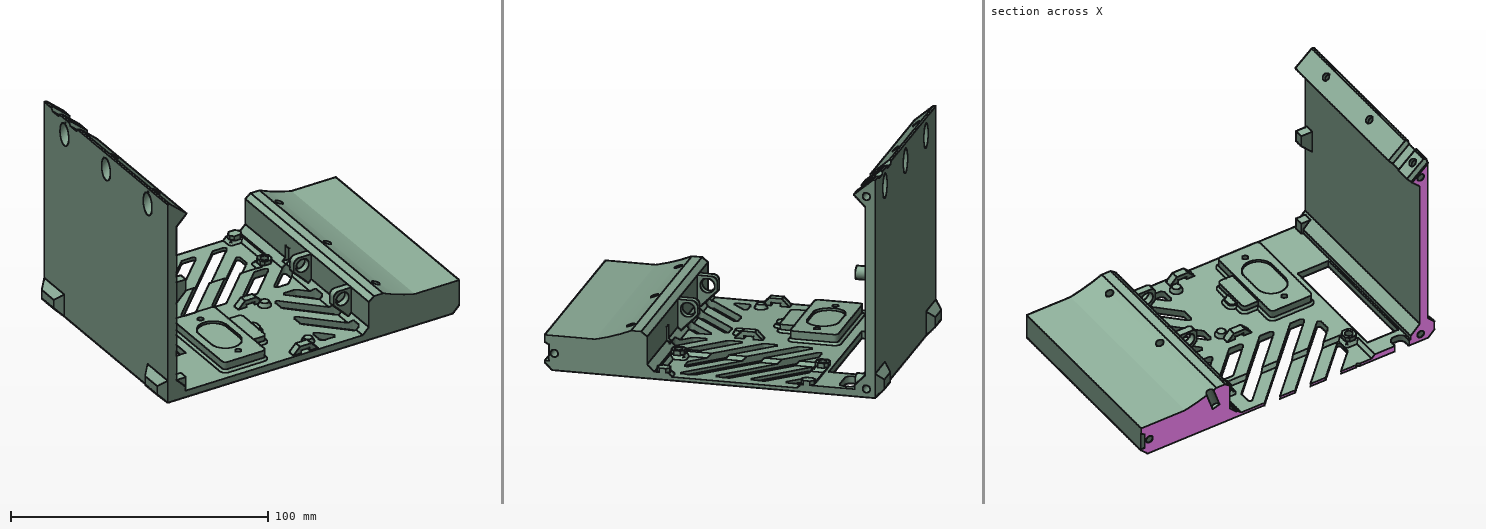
import cadquery as cq
import math


WIDTH = 92.0
HALF = WIDTH / 2
LENGTH = 133.0
HEIGHT = 89.6
FLOOR = 3.0
WALL = 4.0
CORNER_RIB = 4.2
CORNER_RIB_LIP = 1.8

LIP_TIP_Y = 8.65
LIP_TIP_Z = 83.0
LIP_FLAT = 1.0
LIP_RUN = LIP_TIP_Y - LIP_FLAT
LIP_DROP = HEIGHT - LIP_TIP_Z
LIP_ANGLE = math.atan2(LIP_DROP, LIP_RUN)

BLOCK_FACE_Y = 91.7
BLOCK_UNDERCUT = 2.8
BLOCK_TOP_Z = 19.1
BLOCK_EDGE_RUN = 2.4
BLOCK_EDGE_DROP = 1.9
BLOCK_FACE_TOP_Z = BLOCK_TOP_Z - BLOCK_EDGE_DROP
DECK_Z = 14.3
RAMP_TOP_Y = 98.2
RAMP_END_Y = 112.7
RAMP_SAG = 0.4
RAMP_ANGLE = math.atan2(BLOCK_TOP_Z - DECK_Z, RAMP_END_Y - RAMP_TOP_Y)
BACK_CHAMFER = 3.0
BACK_NOTCH_DEPTH = 1.7
BACK_NOTCH_LENGTH = 10.0
BACK_NOTCH_Z = (3.7, 11.4)
BACK_NOTCH_SLOPE = 1.0
CABLE_SLOT_X = (-16.2, -13.5)
CABLE_SLOT_Y = (89.8, 94.8)
CABLE_SLOT_Z = (4.5, 11.3)

FOOT_WIDTH = 15.0
FOOT_HEIGHT = 10.0
FOOT_DEPTH = 3.0

SCREW_D = 3.2
SCREW_HEAD_D = 6.5
SCREW_SEAT = 4.4
LIP_SCREW_X = 31.0
LIP_SCREW_Y = 4.0
RAMP_SCREW_X = 36.0
RAMP_SCREW_Y = 101.1
RAMP_SCREW_DEPTH = 9.0
SIDE_HOLE_D = 3.0
SIDE_HOLE_DEPTH = 10.0
SIDE_HOLES = [(3.5, 3.5), (3.5, 82.7), (129.1, 7.0)]

GROOVE_X = (-37.65, -24.45)
GROOVE_WIDTH = 7.0
GROOVE_FLOOR_WIDTH = 4.2
GROOVE_DEPTH = 1.5

EAR_X = (0.2, 29.95)
EAR_THICK = 3.0
EAR_FRONT_Y = 83.7
EAR_RADIUS = 2.4
EAR_STRAIGHT_Z = 11.1
EAR_HOLE = (87.7, 13.2)
EAR_HOLE_D = 5.8

WINDOW_X = (-28.55, 21.45)
WINDOW_Y = (9.05, 23.3)
CABLE_HOLE_X = (-43.5, -31.4)
CABLE_HOLE_Y = (9.0, 15.4)
CABLE_HOLE_RADIUS = 2.3

SLIT_WIDTH = 5.0
SLIT_PITCH = 10.0
LEFT_REAR_SLITS = range(0, 2)
LEFT_MAIN_SLITS = range(2, 7)
RIGHT_SLITS = range(0, 4)
SLIT_FIRST = 82.2
SLIT_CORNER = 1.0
VENT_OUTER_X = 41.25
VENT_BACK_Y = 90.5
LEFT_VENT_INNER_X = -2.5
LEFT_REAR_OUTER_X = -17.1
LEFT_MAIN_BACK_Y = 80.5
LEFT_VENT_FRONT_Y = 31.5
RIGHT_VENT_INNER_X = 2.6
RIGHT_VENT_FRONT_Y = 72.9

RECESS_DEPTH = 1.5
RECESS_X = -19.0
RECESS_Y = (24.8, 88.2)
BOARD_MID_Y = sum(RECESS_Y) / 2
POST_SPAN_X = 23.0
POST_SPAN_Y = 58.0
POST_X = -21.7
POST_SIZE = 5.2
POST_CORNER = 1.3
EDGE_POST_LENGTH = 4.1
POST_TOP_Z = 4.7
POST_HOLE_D = 3.2
PAD_EDGE = 2.4

BRIDGE_X = (1.05, 41.95)
BRIDGE_WIDTH = 3.15
BRIDGE_Y = 63.45
BRIDGE_LENGTH = 11.3
BRIDGE_HEIGHT = 3.1
BRIDGE_GAP_LENGTH = 3.8
BRIDGE_GAP_HEIGHT = 1.2
PEG_X = (6.4, 38.6)
PEG_Y = 68.45
PEG_BASE_R = 2.6
PEG_TOP_R = 1.7
PEG_HEIGHT = 1.7

FLARE = 1.0
HOUSING_CORNER = 1.6
HOUSING_X = 22.5
HOUSING_SIZE = (38.8, 19.2)
HOUSING_FRONT_Y = 28.2
HOUSING_TOP_Z = 7.2
STEP_X = 21.75
STEP_WIDTH = 18.5
STEP_BACK_Y = 54.2
STEP_TOP_Z = 6.15
TAB_X = 20.3
TAB_WIDTHS = (6.4, 4.2)
TAB_BACK_Y = 57.0
TAB_TOP_Z = 4.7
HOUSING_MID_Y = 37.9
OVAL_SIZE = (22.0, 12.9)
OVAL_DEPTH = 1.0
HOUSING_HOLE_D = 2.4
HOUSING_HOLE_SPAN = 28.0
HOUSING_HOLE_DEPTH = 3.0

SUPPORT_Z = (6.0, 50.2)
STANDOFF_X = -43.3
STANDOFF_R = 2.7
STANDOFF_END_Y = 8.05
BRACKET_X = (40.9, 44.7)
BRACKET_END_Y = 9.1
BRACKET_RISE = 2.2
BRACKET_FALL = 2.9

OVERLAP = 0.5


def box(xs, ys, zs):
    """Box between two X, two Y and two Z values."""
    size = (xs[1] - xs[0], ys[1] - ys[0], zs[1] - zs[0])
    return cq.Workplane("XY").box(*size, centered=False).translate((xs[0], ys[0], zs[0]))


def side_profile(x):
    """Workplane at X = x whose local axes are Y and Z, extruding toward +X."""
    return cq.Workplane("YZ", origin=(x, 0, 0))


def tilted_plane(x, y, z, angle):
    """Plane on a slope falling toward +Y by angle, with its normal pointing out of the slope."""
    return cq.Plane(origin=(x, y, z), xDir=(1, 0, 0), normal=(0, math.sin(angle), math.cos(angle)))


def body():
    """Floor, wall with its lip, and back block as one extruded outline."""
    ramp_mid = ((RAMP_TOP_Y + RAMP_END_Y) / 2, (BLOCK_TOP_Z + DECK_Z) / 2 - RAMP_SAG)
    rib_y = WALL + CORNER_RIB
    rib_z = FLOOR + CORNER_RIB_LIP
    return (
        side_profile(-HALF)
        .moveTo(0, 0)
        .lineTo(LENGTH - BACK_CHAMFER, 0)
        .lineTo(LENGTH, BACK_CHAMFER)
        .lineTo(LENGTH, DECK_Z)
        .lineTo(RAMP_END_Y, DECK_Z)
        .threePointArc(ramp_mid, (RAMP_TOP_Y, BLOCK_TOP_Z))
        .lineTo(BLOCK_FACE_Y + BLOCK_EDGE_RUN, BLOCK_TOP_Z)
        .lineTo(BLOCK_FACE_Y, BLOCK_FACE_TOP_Z)
        .lineTo(BLOCK_FACE_Y, FLOOR + BLOCK_UNDERCUT)
        .lineTo(BLOCK_FACE_Y - BLOCK_UNDERCUT, FLOOR)
        .lineTo(rib_y, FLOOR)
        .lineTo(rib_y, rib_z)
        .lineTo(WALL, rib_z + CORNER_RIB)
        .lineTo(WALL, LIP_TIP_Z - (LIP_TIP_Y - WALL))
        .lineTo(LIP_TIP_Y, LIP_TIP_Z)
        .lineTo(LIP_FLAT, HEIGHT)
        .lineTo(0, HEIGHT)
        .close()
        .extrude(WIDTH)
    )


def foot(side):
    """Tapered foot at one end of the wall; side is -1 or +1."""
    centre_x = side * (HALF - FOOT_WIDTH / 2)
    return (
        cq.Workplane("XZ", origin=(centre_x, 0, FOOT_HEIGHT / 2))
        .rect(FOOT_WIDTH, FOOT_HEIGHT)
        .extrude(FOOT_DEPTH, taper=45)
    )


def ear(x):
    """Hinge ear with a rounded upper corner and a 45-degree underside."""
    root_y = BLOCK_FACE_Y + OVERLAP
    root_z = EAR_STRAIGHT_Z - (root_y - EAR_FRONT_Y)
    diagonal = EAR_RADIUS * math.sqrt(0.5)
    arc_mid = (EAR_FRONT_Y + EAR_RADIUS - diagonal, BLOCK_FACE_TOP_Z - EAR_RADIUS + diagonal)
    plate = (
        side_profile(x)
        .moveTo(root_y, root_z)
        .lineTo(root_y, BLOCK_FACE_TOP_Z)
        .lineTo(EAR_FRONT_Y + EAR_RADIUS, BLOCK_FACE_TOP_Z)
        .threePointArc(arc_mid, (EAR_FRONT_Y, BLOCK_FACE_TOP_Z - EAR_RADIUS))
        .lineTo(EAR_FRONT_Y, EAR_STRAIGHT_Z)
        .close()
        .extrude(EAR_THICK)
    )
    hole = side_profile(x).center(*EAR_HOLE).circle(EAR_HOLE_D / 2).extrude(EAR_THICK)
    return plate.cut(hole)


def lip_screw_hole(x):
    """Hole square to the lip's slope, with a head bore entering from the outer face."""
    z = HEIGHT - (LIP_SCREW_Y - LIP_FLAT) * math.tan(LIP_ANGLE)
    plane = tilted_plane(x, LIP_SCREW_Y, z, LIP_ANGLE)
    wall_distance = LIP_SCREW_Y / math.sin(LIP_ANGLE)
    shank = cq.Workplane(plane).circle(SCREW_D / 2).extrude(2 * wall_distance, both=True)
    head = (
        cq.Workplane(plane)
        .workplane(offset=SCREW_SEAT - wall_distance)
        .circle(SCREW_HEAD_D / 2)
        .extrude(-2 * wall_distance)
    )
    return shank.union(head)


def ramp_screw_hole(x):
    """Blind hole square to the ramp."""
    z = BLOCK_TOP_Z - (RAMP_SCREW_Y - RAMP_TOP_Y) * math.tan(RAMP_ANGLE)
    plane = tilted_plane(x, RAMP_SCREW_Y, z, RAMP_ANGLE)
    start = cq.Workplane(plane).workplane(offset=OVERLAP)
    return start.circle(SCREW_D / 2).extrude(-RAMP_SCREW_DEPTH - OVERLAP)


def cable_groove(x):
    """Flared groove running down the lip's slope."""
    down_slope = (0, math.cos(LIP_ANGLE), -math.sin(LIP_ANGLE))
    plane = cq.Plane(origin=(x, LIP_FLAT, HEIGHT), xDir=(-1, 0, 0), normal=down_slope)
    flare = (GROOVE_WIDTH - GROOVE_FLOOR_WIDTH) / 2
    half_floor = GROOVE_FLOOR_WIDTH / 2
    half_top = half_floor + 2 * flare
    outline = [
        (-half_floor, -GROOVE_DEPTH),
        (half_floor, -GROOVE_DEPTH),
        (half_top, GROOVE_DEPTH),
        (-half_top, GROOVE_DEPTH),
    ]
    return cq.Workplane(plane).polyline(outline).close().extrude(2 * LIP_RUN, both=True)


def side_holes():
    """Blind screw holes in the -X end."""
    return side_profile(-HALF).pushPoints(SIDE_HOLES).circle(SIDE_HOLE_D / 2).extrude(SIDE_HOLE_DEPTH)


def back_notch():
    """Notch in the back face, open at the -X end."""
    bottom, top = BACK_NOTCH_Z
    floor_y = LENGTH - BACK_NOTCH_DEPTH
    outline = [(LENGTH, bottom), (floor_y, bottom), (floor_y, top - BACK_NOTCH_SLOPE), (LENGTH, top)]
    return side_profile(-HALF).polyline(outline).close().extrude(BACK_NOTCH_LENGTH)


def cable_hole():
    """Rounded opening in the floor beside the large window."""
    return box(CABLE_HOLE_X, CABLE_HOLE_Y, (0, FLOOR)).edges("|Z").fillet(CABLE_HOLE_RADIUS)


def vent_slits(xs, ys, side, indices):
    """45-degree slits clipped to a floor rectangle; side is the sign of X they lie on."""
    step = SLIT_PITCH * math.sqrt(2)
    drop = SLIT_WIDTH * math.sqrt(2)
    reach = side * WIDTH
    region = box(xs, ys, (0, FLOOR))
    slits = cq.Workplane("XY")
    for index in indices:
        upper = SLIT_FIRST - index * step
        lower = upper - drop
        corners = [(0, upper), (reach, upper + WIDTH), (reach, lower + WIDTH), (0, lower)]
        band = cq.Workplane("XY").polyline(corners).close().extrude(FLOOR)
        outline = region.intersect(band).faces("<Z").wires().val()
        rounded = outline.offset2D(-SLIT_CORNER)[0].offset2D(SLIT_CORNER)[0]
        slits = slits.union(cq.Workplane("XY").add(rounded).toPending().extrude(2 * FLOOR))
    return slits


def all_vents():
    """Slits of the two left regions and the right region."""
    left_xs = (-VENT_OUTER_X, LEFT_VENT_INNER_X)
    rear_xs = (LEFT_REAR_OUTER_X, LEFT_VENT_INNER_X)
    right_xs = (RIGHT_VENT_INNER_X, VENT_OUTER_X)
    main = vent_slits(left_xs, (LEFT_VENT_FRONT_Y, LEFT_MAIN_BACK_Y), -1, LEFT_MAIN_SLITS)
    rear = vent_slits(rear_xs, (LEFT_VENT_FRONT_Y, VENT_BACK_Y), -1, LEFT_REAR_SLITS)
    right = vent_slits(right_xs, (RIGHT_VENT_FRONT_Y, VENT_BACK_Y), 1, RIGHT_SLITS)
    return main.union(rear).union(right)


def sloped_block(xs, ys, slope):
    """Block from the recess floor to the floor's top; sizes are at the top and taper by slope below."""
    centre = ((xs[0] + xs[1]) / 2, (ys[0] + ys[1]) / 2)
    return (
        cq.Workplane("XY", origin=(*centre, FLOOR))
        .rect(xs[1] - xs[0], ys[1] - ys[0])
        .extrude(-RECESS_DEPTH, taper=slope)
    )


def post_points():
    """Centres of the four board posts."""
    front = BOARD_MID_Y - POST_SPAN_Y / 2
    back = BOARD_MID_Y + POST_SPAN_Y / 2
    return [(x, y) for x in (POST_X - POST_SPAN_X, POST_X) for y in (front, back)]


def board_recess():
    """Shallow recess with 45-degree sides, leaving a sloped pad at each post."""
    open_end = -HALF - 2 * RECESS_DEPTH
    recess = sloped_block((open_end, RECESS_X), RECESS_Y, 45)
    for x, y in post_points():
        if x < POST_X:
            xs = (open_end - POST_SPAN_X, x + PAD_EDGE)
        else:
            xs = (x - PAD_EDGE, x + POST_SPAN_X)
        if y < BOARD_MID_Y:
            ys = (y - POST_SPAN_Y / 2, y + PAD_EDGE)
        else:
            ys = (y - PAD_EDGE, y + POST_SPAN_Y / 2)
        recess = recess.cut(sloped_block(xs, ys, -45))
    return recess


def board_posts():
    """Four posts with chamfered upright edges; the outer pair stands flush with the -X end."""
    posts = cq.Workplane("XY")
    half = POST_SIZE / 2
    for x, y in post_points():
        if x < POST_X:
            xs = (-HALF, -HALF + EDGE_POST_LENGTH)
        else:
            xs = (x - half, x + half)
        post = box(xs, (y - half, y + half), (FLOOR - RECESS_DEPTH, POST_TOP_Z))
        posts = posts.union(post.edges("|Z").chamfer(POST_CORNER))
    return posts


def post_holes():
    """Through holes in the two inner posts."""
    points = [point for point in post_points() if point[0] == POST_X]
    return cq.Workplane("XY").pushPoints(points).circle(POST_HOLE_D / 2).extrude(POST_TOP_Z)


def bridge(x):
    """Strap bridge: a 45-degree trapezoid with a gap under its top."""
    half = BRIDGE_LENGTH / 2
    top_half = half - BRIDGE_HEIGHT
    outline = [(-half, 0), (half, 0), (top_half, BRIDGE_HEIGHT), (-top_half, BRIDGE_HEIGHT)]
    solid = cq.Workplane("YZ", origin=(x, BRIDGE_Y, FLOOR)).polyline(outline).close().extrude(BRIDGE_WIDTH)
    gap_ys = (BRIDGE_Y - BRIDGE_GAP_LENGTH / 2, BRIDGE_Y + BRIDGE_GAP_LENGTH / 2)
    return solid.cut(box((x, x + BRIDGE_WIDTH), gap_ys, (FLOOR, FLOOR + BRIDGE_GAP_HEIGHT)))


def peg(x):
    """Tapered locating peg."""
    cone = cq.Solid.makeCone(PEG_BASE_R, PEG_TOP_R, PEG_HEIGHT)
    return cq.Workplane("XY").add(cone).translate((x, PEG_Y, FLOOR))


def flared_step(corners, top_z):
    """Upright prism on the floor with rounded corners and a 45-degree skirt at its base."""
    height = top_z - FLOOR
    prism = cq.Workplane("XY", origin=(0, 0, FLOOR)).polyline(corners).close().extrude(height)
    prism = prism.edges("|Z").fillet(HOUSING_CORNER)
    outline = prism.faces("<Z").wires().val()
    base = outline.offset2D(FLARE)[0]
    skirt = cq.Workplane("XY").add(base).toPending().extrude(FLARE, taper=45)
    return prism.union(skirt)


def rectangle(centre_x, width, front_y, back_y):
    """Corner points of a rectangle centred on centre_x."""
    half = width / 2
    left = centre_x - half
    right = centre_x + half
    return [(left, front_y), (right, front_y), (right, back_y), (left, back_y)]


def housing():
    """Three-step housing with a shallow oval pocket and two screw holes."""
    width, depth = HOUSING_SIZE
    back_y = HOUSING_FRONT_Y + depth
    half_root, half_end = TAB_WIDTHS[0] / 2, TAB_WIDTHS[1] / 2
    tab = [
        (TAB_X - half_root, HOUSING_MID_Y),
        (TAB_X + half_root, HOUSING_MID_Y),
        (TAB_X + half_root, STEP_BACK_Y),
        (TAB_X + half_end, TAB_BACK_Y),
        (TAB_X - half_end, TAB_BACK_Y),
        (TAB_X - half_root, STEP_BACK_Y),
    ]
    main = flared_step(rectangle(HOUSING_X, width, HOUSING_FRONT_Y, back_y), HOUSING_TOP_Z)
    step = flared_step(rectangle(STEP_X, STEP_WIDTH, HOUSING_MID_Y, STEP_BACK_Y), STEP_TOP_Z)
    top = cq.Workplane("XY", origin=(HOUSING_X, HOUSING_MID_Y, HOUSING_TOP_Z))
    oval = top.slot2D(*OVAL_SIZE).extrude(-OVAL_DEPTH)
    offset = HOUSING_HOLE_SPAN / 2
    holes = top.pushPoints([(-offset, 0), (offset, 0)]).circle(HOUSING_HOLE_D / 2)
    holes = holes.extrude(-HOUSING_HOLE_DEPTH)
    return main.union(step).union(flared_step(tab, TAB_TOP_Z)).cut(oval).cut(holes)


def standoff(z):
    """Round standoff on the wall near the -X end."""
    return (
        cq.Workplane("XZ", origin=(STANDOFF_X, WALL, z))
        .circle(STANDOFF_R)
        .extrude(WALL - STANDOFF_END_Y)
    )


def bracket(z):
    """Block on the wall near the +X end with a 45-degree underside, kept above the part's bottom."""
    top = z + BRACKET_RISE
    bottom = z - BRACKET_FALL
    outline = [
        (WALL, top),
        (BRACKET_END_Y, top),
        (BRACKET_END_Y, bottom),
        (WALL, bottom - (BRACKET_END_Y - WALL)),
    ]
    block = side_profile(BRACKET_X[0]).polyline(outline).close().extrude(BRACKET_X[1] - BRACKET_X[0])
    return block.intersect(box((-HALF, HALF), (0, LENGTH), (0, HEIGHT)))


result = body()
for side in (-1, 1):
    result = result.union(foot(side))
for x in EAR_X:
    result = result.union(ear(x))

result = result.cut(box(WINDOW_X, WINDOW_Y, (0, FLOOR)))
result = result.cut(cable_hole())
result = result.cut(box(CABLE_SLOT_X, CABLE_SLOT_Y, CABLE_SLOT_Z))
result = result.cut(board_recess())
result = result.cut(all_vents())

result = result.union(board_posts()).cut(post_holes())
result = result.union(housing())
for x in BRIDGE_X:
    result = result.union(bridge(x))
for x in PEG_X:
    result = result.union(peg(x))
for z in SUPPORT_Z:
    result = result.union(standoff(z)).union(bracket(z))

for x in (-LIP_SCREW_X, 0, LIP_SCREW_X):
    result = result.cut(lip_screw_hole(x))
for x in (-RAMP_SCREW_X, 0, RAMP_SCREW_X):
    result = result.cut(ramp_screw_hole(x))
for x in GROOVE_X:
    result = result.cut(cable_groove(x))
result = result.cut(side_holes()).cut(back_notch())
result = cq.Workplane(result.solids().val())